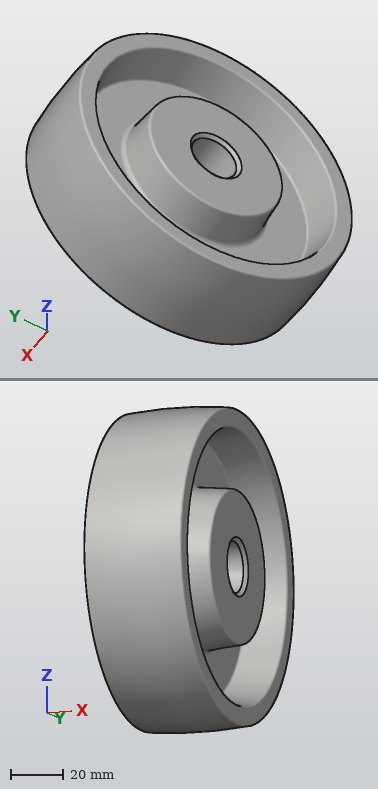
import cadquery as cq

width = 40.0
outer_radius = 62.5
tread_edge_radius = 61.4

recess_depth = 16.0
rim_mouth_radius = 53.9
rim_root_radius = 51.0
hub_face_radius = 30.0
hub_root_radius = 31.6

bore_radius = 10.0
bore_chamfer = 1.5

edge_fillet = 1.0
hub_root_fillet = 2.0

half_width = width / 2
half_web = half_width - recess_depth


def wheel_body():
    """Revolve the sharp-cornered section, including the crowned tread."""
    section = (
        cq.Workplane("XY")
        .moveTo(-half_width, tread_edge_radius)
        .threePointArc((0, outer_radius), (half_width, tread_edge_radius))
        .lineTo(half_width, rim_mouth_radius)
        .lineTo(half_web, rim_root_radius)
        .lineTo(half_web, hub_root_radius)
        .lineTo(half_width, hub_face_radius)
        .lineTo(half_width, bore_radius)
        .lineTo(-half_width, bore_radius)
        .lineTo(-half_width, hub_face_radius)
        .lineTo(-half_web, hub_root_radius)
        .lineTo(-half_web, rim_root_radius)
        .lineTo(-half_width, rim_mouth_radius)
        .close()
    )
    return section.revolve(360, (0, 0, 0), (1, 0, 0))


def circles_of(body, radius):
    """Select the circular edges of the given radius, on both sides."""
    tolerance = 0.01
    return body.edges("%CIRCLE").filter(
        lambda edge: abs(edge.radius() - radius) < tolerance
    )


result = wheel_body()
for corner_radius in (tread_edge_radius, rim_mouth_radius, rim_root_radius, hub_face_radius):
    result = circles_of(result, corner_radius).fillet(edge_fillet)
result = circles_of(result, hub_root_radius).fillet(hub_root_fillet)
result = circles_of(result, bore_radius).chamfer(bore_chamfer)